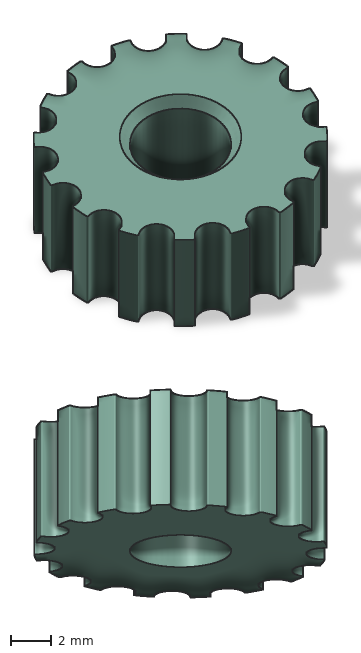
import cadquery as cq
import math

overall_width = 14.38
height = 6.0
groove_count = 16
groove_radius = 0.89
groove_floor_radius = 6.23
corner_rounding = 0.07
bore_radius = 2.5
chamfer = 0.5

groove_centre_radius = groove_floor_radius + groove_radius
corner_centre_reach = overall_width / 2 - corner_rounding
corner_centre_offset = math.sqrt(
    (groove_radius + corner_rounding) ** 2 - (corner_centre_reach - groove_centre_radius) ** 2
)
rim_radius = math.hypot(corner_centre_reach, corner_centre_offset) + corner_rounding


def make_grooves():
    """Round-bottomed grooves spaced evenly around the rim, over the full height."""
    return (
        cq.Workplane("XY")
        .polarArray(groove_centre_radius, 0, 360, groove_count)
        .circle(groove_radius)
        .extrude(height)
    )


def make_grooved_disc():
    """Solid disc with grooves around the rim and rounded groove corners."""
    disc = cq.Workplane("XY").circle(rim_radius).extrude(height)
    return disc.cut(make_grooves()).edges("|Z").fillet(corner_rounding)


def make_bore():
    """Through bore with a conical lead-in at the top face, as a solid to remove."""
    bore = cq.Workplane("XY").circle(bore_radius).extrude(height)
    lead_in = cq.Solid.makeCone(
        bore_radius,
        bore_radius + chamfer,
        chamfer,
        pnt=cq.Vector(0, 0, height - chamfer),
    )
    return bore.union(cq.Workplane(obj=lead_in))


result = make_grooved_disc().cut(make_bore())